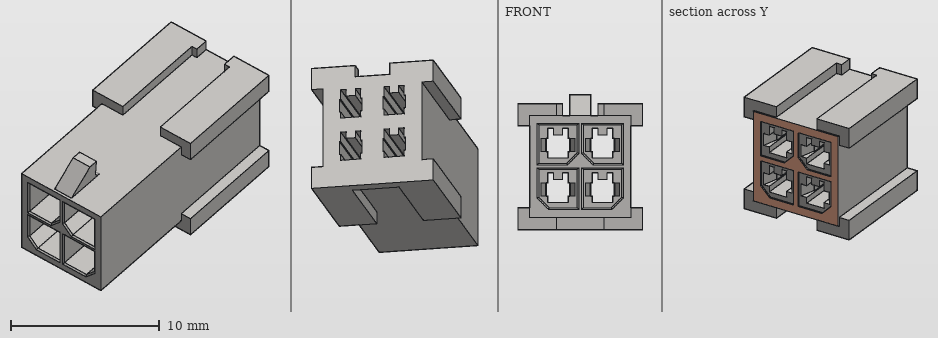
import cadquery as cq

length = 17.2
body_width = 6.81
body_height = 6.85

flange_width = 8.4
flange_length = 8.5
flange_front = length - flange_length
flange_above = 0.79
flange_below = 0.85
flange_height = 1.5
channel_width = 3.22
channel_wall = 1.01
top_slot_width = 2.37

overall_height = 9.1
latch_width = 1.45
latch_height = overall_height - flange_below - body_height
latch_ramp_start = 0.2
latch_ramp_end = 2.2
latch_tip = 2.9
latch_root = 2.77
latch_root_radius = 0.41

pitch = 3.0
mouth_size = 2.8
mouth_bevel = 0.112
cavity_size = mouth_size - 2 * mouth_bevel
mouth_corner = 0.77
cavity_depth = flange_front

opening_width = 1.38
opening_top = 1.07
opening_bottom = -0.93
tab_width = 0.64
tab_height = 0.46

pocket_top = 0.4
pocket_bottom = -0.5
pocket_width = 2.27
throat_width = 1.65
through_width = 1.55
pocket_depth_left = 1.1
pocket_depth_right = 0.45


def block(width, y_start, y_end, z_bottom, z_top):
    """Box centred on X between the given Y and Z limits."""
    return cq.Workplane("XY").box(
        width, y_end - y_start, z_top - z_bottom, centered=(True, False, False)
    ).translate((0, y_start, z_bottom))


def make_flanges(z_bottom, z_top):
    return block(flange_width, flange_front, length, z_bottom, z_top)


def make_channel(z_bottom, z_top):
    return block(channel_width, flange_front, length - channel_wall, z_bottom, z_top)


def make_latch():
    profile = [
        (latch_ramp_start, body_top),
        (latch_ramp_end, body_top + latch_height),
        (latch_tip, body_top + latch_height),
        (latch_root, body_top),
    ]
    return cq.Workplane("YZ").polyline(profile).close().extrude(latch_width / 2, both=True)


def cavity_outline(plane, size, corner, corner_side):
    """Square with one lower corner cut off, on the left (-1) or the right (+1)."""
    half = size / 2
    points = [
        (-corner_side * half, half),
        (corner_side * half, half),
        (corner_side * half, corner - half),
        (corner_side * (half - corner), -half),
        (-corner_side * half, -half),
    ]
    return plane.polyline(points).close()


def make_cavity(corner_side):
    """Everything removed for one terminal, with its axis on the Y axis."""
    front = cq.Workplane("XZ")
    cavity_corner = mouth_corner - (2 - 2 ** 0.5) * mouth_bevel
    cavity = cavity_outline(front, cavity_size, cavity_corner, corner_side).extrude(-cavity_depth)

    bevel = cavity_outline(front, mouth_size, mouth_corner, corner_side)
    bevel = cavity_outline(
        bevel.workplane(offset=-mouth_bevel), cavity_size, cavity_corner, corner_side
    ).loft(ruled=True)

    opening = block(opening_width, cavity_depth, length, opening_bottom, opening_top)
    tab = block(tab_width, cavity_depth, length, opening_top - tab_height, opening_top)

    through = block(through_width, cavity_depth, length, pocket_bottom, pocket_top)
    pocket_outline = [
        (-pocket_width / 2, cavity_depth),
        (pocket_width / 2, cavity_depth),
        (throat_width / 2, cavity_depth + pocket_depth_right),
        (-throat_width / 2, cavity_depth + pocket_depth_left),
    ]
    pocket = (
        cq.Workplane("XY", origin=(0, 0, pocket_bottom))
        .polyline(pocket_outline).close()
        .extrude(pocket_top - pocket_bottom)
    )
    return cavity.union(bevel).union(opening.cut(tab)).union(through).union(pocket)


body_bottom = -body_height / 2
body_top = body_height / 2
flange_top = body_top + flange_above
flange_bottom = body_bottom - flange_below

flanges = make_flanges(flange_top - flange_height, flange_top)
flanges = flanges.union(make_flanges(flange_bottom, flange_bottom + flange_height))
flanges = flanges.cut(make_channel(body_top, flange_top))
flanges = flanges.cut(make_channel(flange_bottom, body_bottom))
flanges = flanges.cut(block(top_slot_width, flange_front, length, body_top, flange_top))
housing = block(body_width, 0, length, body_bottom, body_top).union(flanges)

latch_root_edge = cq.selectors.NearestToPointSelector((0, latch_root, body_top))
housing = housing.union(make_latch()).edges(latch_root_edge).fillet(latch_root_radius)

for side in (-1, 1):
    for row in (-1, 1):
        cavity = make_cavity(-side * row)
        housing = housing.cut(cavity.translate((side * pitch / 2, 0, row * pitch / 2)))

result = housing